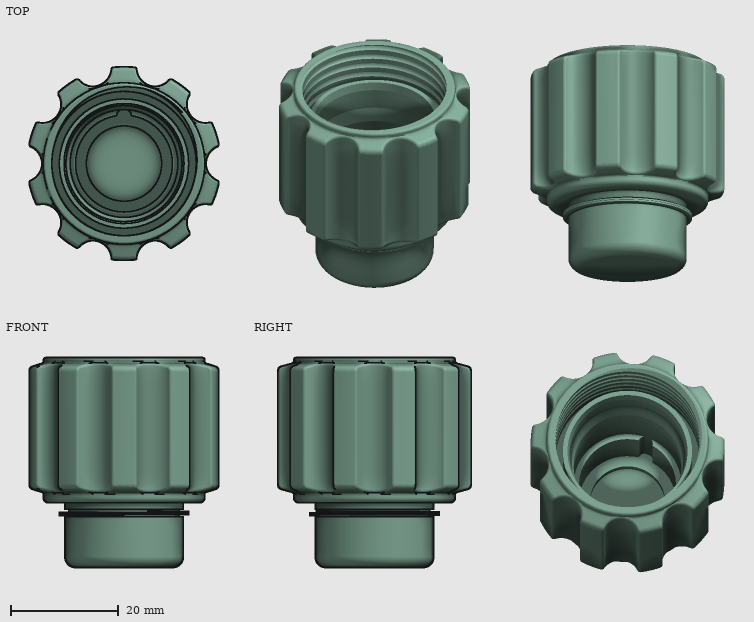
import cadquery as cq
import math

TOTAL_HEIGHT = 39.0
COLLAR_BOTTOM = 12.0

COLLAR_RADIUS = 15.0
COLLAR_TOP_FILLET = 0.5
COLLAR_BOTTOM_FILLET = 1.0

GRIP_RADIUS = 18.0
GRIP_CORE_RADIUS = 14.6
GRIP_BOTTOM_RIM = 14.7
GRIP_TOP_RIM = 37.2
GRIP_SLOPE_ANGLE = math.radians(15)
GRIP_SLOPE = math.tan(GRIP_SLOPE_ANGLE)
GRIP_RIM_FILLET = 1.0
RIB_COUNT = 10
SCALLOP_RADIUS = 3.4
SCALLOP_FLOOR = 15.25
SCALLOP_EDGE_FILLET = 0.5
GRIP_ROOT_FILLET = 0.4

NECK_RADIUS = 11.0
NECK_BOTTOM_FILLET = 2.0
NECK_GROOVE_RADIUS = 10.3
NECK_GROOVE_BOTTOM = 9.45
NECK_GROOVE_TOP = 10.8

RING_OUTER_RADIUS = 12.0
RING_EMBEDDING = 0.1
RING_INNER_RADIUS = NECK_GROOVE_RADIUS - RING_EMBEDDING
RING_THICKNESS = 0.28
RING_PITCH = 0.34
RING_TURNS = 1.93
RING_BOTTOM = 9.58
RING_START_ANGLE = -90.0

SOCKET_RADIUS = 13.4
SOCKET_FLOOR = TOTAL_HEIGHT - 12.0
SLEEVE_RADIUS = 12.0
SLEEVE_TOP = TOTAL_HEIGHT - 7.0

THREAD_PITCH = 2.0
THREAD_WIDTH = 0.98
THREAD_DEPTH = 1.0
THREAD_OVERLAP = 0.1
THREAD_BOTTOM = SOCKET_FLOOR + THREAD_PITCH / 2
THREAD_TURNS = 6.5
THREAD_START_ANGLE = 255.0

MOUTH_RADIUS = 11.15
BORE_RADIUS = 10.79
BORE_TOP = TOTAL_HEIGHT - 8.5
BORE_BOTTOM = TOTAL_HEIGHT - 12.5
SEAT_RADIUS = 10.0
SEAT_TOP = TOTAL_HEIGHT - 15.0
SEAT_FLOOR = 13.5
POCKET_RADIUS = 9.0
POCKET_FLOOR = 4.0
RECESS_RADIUS = 7.0
RECESS_FLOOR = 2.5

KEYWAY_RADIUS = 1.4
KEYWAY_CENTER = 8.75


def cylinder(radius, bottom, top):
    return cq.Workplane("XY").workplane(offset=bottom).circle(radius).extrude(top - bottom)


def revolved(points):
    """Revolve a closed (radius, height) outline about Z."""
    return cq.Workplane("XZ").polyline(points).close().revolve(360, (0, 0), (0, 1))


def turned(shape, angle):
    return shape.rotate((0, 0, 0), (0, 0, 1), angle)


def coil(profile_points, pitch, turns, left_hand=False):
    """Sweep a closed (radius, height) outline along a helix that starts at the XY plane on +X."""
    start_radius = profile_points[0][0]
    helix = cq.Wire.makeHelix(pitch, pitch * turns, start_radius, lefthand=left_hand)
    profile = cq.Workplane("XZ").polyline(profile_points).close()
    return profile.sweep(cq.Workplane(helix), isFrenet=True)


def make_scallops(radius):
    """Cylinders of the given radius on the axes of the scallops."""
    return (
        cq.Workplane("XY")
        .polarArray(SCALLOP_FLOOR + SCALLOP_RADIUS, 0, 360, RIB_COUNT)
        .circle(radius)
        .extrude(TOTAL_HEIGHT)
    )


def is_scallop_wall(face):
    """Tell scallop walls, which lie inside the rib crests, from the crests and the central hole."""
    center = face.Center()
    distance = math.hypot(center.x, center.y)
    return COLLAR_RADIUS < distance < GRIP_RADIUS - SCALLOP_EDGE_FILLET


def make_grip():
    rise = GRIP_SLOPE * (GRIP_RADIUS - GRIP_CORE_RADIUS)
    grip = revolved([
        (GRIP_CORE_RADIUS, GRIP_BOTTOM_RIM - rise),
        (GRIP_RADIUS, GRIP_BOTTOM_RIM),
        (GRIP_RADIUS, GRIP_TOP_RIM),
        (GRIP_CORE_RADIUS, GRIP_TOP_RIM + rise),
    ])
    rims = cq.selectors.RadiusNthSelector(-1)
    grip = grip.edges("%CIRCLE").edges(rims).fillet(GRIP_RIM_FILLET)
    grip = grip.cut(make_scallops(SCALLOP_RADIUS))
    scallop_walls = grip.faces("%CYLINDER").filter(is_scallop_wall)
    return scallop_walls.edges().fillet(SCALLOP_EDGE_FILLET)


def make_root_fillets():
    """Concave fillets between the collar and the sloped ends of the ribs."""
    root_height = GRIP_TOP_RIM + GRIP_SLOPE * (GRIP_RADIUS - COLLAR_RADIUS)
    bisector = (math.pi / 2 - GRIP_SLOPE_ANGLE) / 2
    tangent_length = GRIP_ROOT_FILLET * math.tan(bisector)
    center_radius = COLLAR_RADIUS + GRIP_ROOT_FILLET
    center_height = root_height + tangent_length
    slope_radius = COLLAR_RADIUS + tangent_length * math.cos(GRIP_SLOPE_ANGLE)
    slope_height = root_height - tangent_length * math.sin(GRIP_SLOPE_ANGLE)
    arc_middle = (
        center_radius - GRIP_ROOT_FILLET * math.cos(bisector),
        center_height - GRIP_ROOT_FILLET * math.sin(bisector),
    )
    fillet = (
        cq.Workplane("XZ")
        .moveTo(GRIP_CORE_RADIUS, center_height)
        .lineTo(COLLAR_RADIUS, center_height)
        .threePointArc(arc_middle, (slope_radius, slope_height))
        .lineTo(GRIP_CORE_RADIUS, slope_height)
        .close()
        .revolve(360, (0, 0), (0, 1))
        .cut(make_scallops(SCALLOP_RADIUS + SCALLOP_EDGE_FILLET))
    )
    grip_middle = (GRIP_TOP_RIM + GRIP_BOTTOM_RIM) / 2
    return fillet.union(fillet.mirror("XY", (0, 0, grip_middle)))


def make_collar():
    collar = cylinder(COLLAR_RADIUS, COLLAR_BOTTOM, TOTAL_HEIGHT)
    collar = collar.faces(">Z").edges().fillet(COLLAR_TOP_FILLET)
    return collar.faces("<Z").edges().fillet(COLLAR_BOTTOM_FILLET)


def make_neck():
    neck = cylinder(NECK_RADIUS, 0, COLLAR_BOTTOM)
    neck = neck.faces("<Z").edges().fillet(NECK_BOTTOM_FILLET)
    groove = cylinder(NECK_RADIUS, NECK_GROOVE_BOTTOM, NECK_GROOVE_TOP)
    groove = groove.cut(cylinder(NECK_GROOVE_RADIUS, NECK_GROOVE_BOTTOM, NECK_GROOVE_TOP))
    return neck.cut(groove)


def make_retaining_ring():
    section = [
        (RING_INNER_RADIUS, 0),
        (RING_OUTER_RADIUS, 0),
        (RING_OUTER_RADIUS, RING_THICKNESS),
        (RING_INNER_RADIUS, RING_THICKNESS),
    ]
    ring = coil(section, RING_PITCH, RING_TURNS, left_hand=True)
    return turned(ring, RING_START_ANGLE).translate((0, 0, RING_BOTTOM))


def make_socket():
    socket = cylinder(SOCKET_RADIUS, SOCKET_FLOOR, TOTAL_HEIGHT)
    return socket.cut(cylinder(SLEEVE_RADIUS, SOCKET_FLOOR, SLEEVE_TOP))


def make_thread():
    mouth_radius = SOCKET_RADIUS - THREAD_OVERLAP
    mouth_half_width = THREAD_WIDTH / 2 * (1 + THREAD_OVERLAP / THREAD_DEPTH)
    section = [
        (mouth_radius, -mouth_half_width),
        (SOCKET_RADIUS + THREAD_DEPTH, 0),
        (mouth_radius, mouth_half_width),
    ]
    thread = coil(section, THREAD_PITCH, THREAD_TURNS)
    return turned(thread, THREAD_START_ANGLE).translate((0, 0, THREAD_BOTTOM))


def make_bore():
    bore = revolved([
        (0, SLEEVE_TOP),
        (MOUTH_RADIUS, SLEEVE_TOP),
        (BORE_RADIUS, BORE_TOP),
        (BORE_RADIUS, BORE_BOTTOM),
        (SEAT_RADIUS, SEAT_TOP),
        (SEAT_RADIUS, SEAT_FLOOR),
        (POCKET_RADIUS, SEAT_FLOOR),
        (POCKET_RADIUS, POCKET_FLOOR),
        (RECESS_RADIUS, POCKET_FLOOR),
        (RECESS_RADIUS, RECESS_FLOOR),
        (0, RECESS_FLOOR),
    ])
    keyway = cylinder(KEYWAY_RADIUS, POCKET_FLOOR, SEAT_FLOOR).translate((0, KEYWAY_CENTER, 0))
    return bore.union(keyway.intersect(cylinder(SEAT_RADIUS, POCKET_FLOOR, SEAT_FLOOR)))


body = make_collar().union(make_root_fillets()).cut(make_thread()).cut(make_socket())
body = body.union(make_neck()).cut(make_bore()).union(make_retaining_ring())
result = body.union(make_grip())